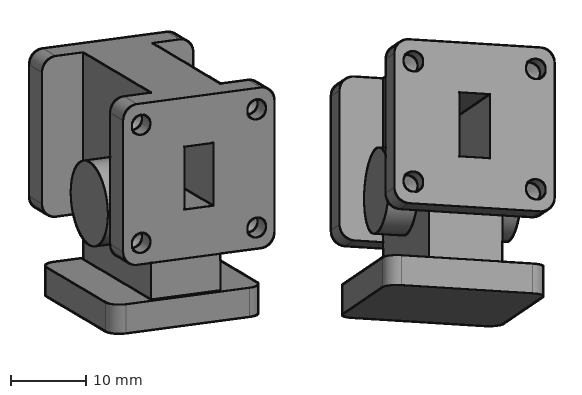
import cadquery as cq
import math

length = 29.1
height = 32.6

flange_side = 22.2
flange_thickness = 4.05
flange_corner_radius = 2.02

block_length = length - 2 * flange_thickness
block_depth = 10.17

channel_depth = 4.25
channel_height = 8.67
channel_z = height - flange_side / 2

boss_diameter = 11.48
boss_span = 18.32
boss_z = 15.03

hole_diameter = 2.75
hole_pitch_y = 16.95
hole_pitch_z = 16.3
hole_depth = 2.6
drill_point_angle = 118.0


def make_block():
    return (
        cq.Workplane("XY")
        .box(block_length, block_depth, height, centered=(True, True, False))
    )


def make_bosses():
    return (
        cq.Workplane("XZ", origin=(0, boss_span / 2, boss_z))
        .circle(boss_diameter / 2)
        .extrude(boss_span)
    )


def make_bottom_flange():
    return (
        cq.Workplane("XY")
        .box(flange_side, flange_side, flange_thickness, centered=(True, True, False))
        .edges("|Z")
        .fillet(flange_corner_radius)
    )


def make_side_flange():
    """Flange on the -X end, with a drilled hole near each corner."""
    flange = (
        cq.Workplane("XY")
        .box(flange_thickness, flange_side, flange_side)
        .edges("|X")
        .fillet(flange_corner_radius)
        .translate((-(length - flange_thickness) / 2, 0, channel_z))
    )
    for y_side in (-1, 1):
        for z_side in (-1, 1):
            y = y_side * hole_pitch_y / 2
            z = channel_z + z_side * hole_pitch_z / 2
            flange = flange.cut(make_drill(y, z))
    return flange


def make_drill(y, z):
    """Drilled volume entering the -X face at the given Y and Z."""
    radius = hole_diameter / 2
    tip_depth = hole_depth + radius / math.tan(math.radians(drill_point_angle / 2))
    return (
        cq.Workplane("XY", origin=(-length / 2, y, z))
        .polyline([(0, 0), (0, radius), (hole_depth, radius), (tip_depth, 0)])
        .close()
        .revolve(360, (0, 0, 0), (1, 0, 0))
    )


def make_channel():
    return (
        cq.Workplane("XY")
        .box(length, channel_depth, channel_height)
        .translate((0, 0, channel_z))
    )


side_flange = make_side_flange()

result = (
    make_block()
    .union(make_bosses())
    .union(make_bottom_flange())
    .union(side_flange)
    .union(side_flange.mirror("YZ"))
    .cut(make_channel())
)